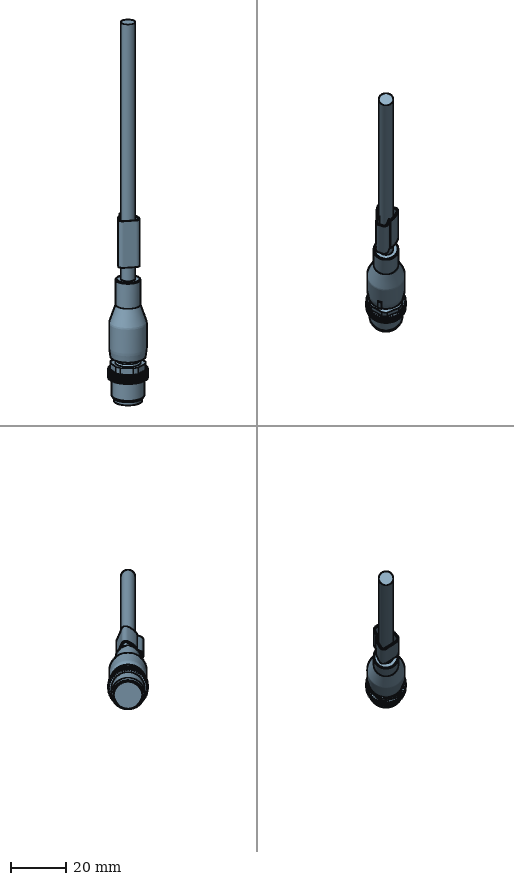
import cadquery as cq
import math

cable_radius = 2.6
total_length = 147.0

nut_bottom_z = 1.3
sleeve_chamfer_top_z = 2.2
knurl_bottom_z = 9.1
knurl_top_z = 12.3
nut_top_z = 14.8
nut_collar_top_z = 15.6
grip_bottom_z = 17.2
grip_taper_top_z = 20.3
cone_bottom_z = 30.5
cone_top_z = 37.3
grip_top_z = 47.3

plug_radius = 5.1
neck_radius = 4.1

sleeve_radius = 6.0
sleeve_tip_radius = 5.5
hex_across_flats = 2 * sleeve_radius
hex_corner_radius = 6.5
nut_collar_radius = 4.7
knurl_radius = 7.28
knurl_root_radius = 6.8
knurl_teeth = 48
knurl_groove_z = 11.0
knurl_groove_width = 0.6

grip_bottom_radius = 6.5
grip_radius = 6.9
grip_neck_radius = 4.5
grip_top_chamfer = 0.37
cone_blend_radius = 2.0
taper_blend_radius = 7.4

mark_width = 1.5
mark_bottom_z = 18.1
mark_top_z = 22.3
mark_reach = 7.2
mark_direction = 135

label_bottom_z = 52.9
label_top_z = 71.0
label_angle = -45
label_wall = 0.6
label_corner_radius = 1.6
wide_front = 3.5
wide_back = -2.5
wide_half_width = 4.0
wide_side_radius = 8.8
narrow_back = -5.7
narrow_half_width = 2.4


def revolve_profile(points):
    """Turn (radius, z) points into a solid of revolution about Z."""
    return cq.Workplane("XZ").polyline(points).close().revolve(360, (0, 0), (0, 1))


def make_cable():
    length = total_length - grip_bottom_z
    return cq.Workplane("XY", origin=(0, 0, grip_bottom_z)).circle(cable_radius).extrude(length)


def round_rim(body, z, radius):
    """Round the grip's circular edge that lies at height z."""
    reach = 2 * grip_radius
    margin = 0.1
    rim = cq.selectors.BoxSelector((-reach, -reach, z - margin), (reach, reach, z + margin))
    return body.edges(rim).fillet(radius)


def make_grip():
    body = revolve_profile([
        (0, grip_bottom_z),
        (grip_bottom_radius, grip_bottom_z),
        (grip_radius, grip_taper_top_z),
        (grip_radius, cone_bottom_z),
        (grip_neck_radius, cone_top_z),
        (grip_neck_radius, grip_top_z),
        (0, grip_top_z),
    ])
    body = body.faces(">Z").edges().chamfer(grip_top_chamfer)
    body = round_rim(body, cone_bottom_z, cone_blend_radius)
    body = round_rim(body, grip_taper_top_z, taper_blend_radius)
    mark = (
        cq.Workplane("XY", origin=(0, 0, mark_bottom_z))
        .rect(mark_reach, mark_width, centered=(False, True))
        .extrude(mark_top_z - mark_bottom_z)
        .rotate((0, 0, 0), (0, 0, 1), mark_direction)
    )
    return body.union(mark).cut(make_cable())


def make_carrier():
    return revolve_profile([
        (0, 0),
        (plug_radius, 0),
        (plug_radius, knurl_top_z),
        (neck_radius, knurl_top_z),
        (neck_radius, grip_bottom_z),
        (0, grip_bottom_z),
    ])


def polar(radius, angle):
    """Point at the given radius and angle (radians) from the axis."""
    return (radius * math.cos(angle), radius * math.sin(angle))


def make_knurl():
    """Two rows of flat-topped teeth with V notches, parted by a groove down to the tooth roots."""
    pitch = 2 * math.pi / knurl_teeth
    outline = []
    for i in range(knurl_teeth):
        tooth_angle = i * pitch
        outline.append(polar(knurl_radius, tooth_angle - pitch / 4))
        outline.append(polar(knurl_radius, tooth_angle + pitch / 4))
        outline.append(polar(knurl_root_radius, tooth_angle + pitch / 2))
    teeth = (
        cq.Workplane("XY", origin=(0, 0, knurl_bottom_z))
        .polyline(outline)
        .close()
        .extrude(knurl_top_z - knurl_bottom_z)
    )
    groove = (
        cq.Workplane("XY", origin=(0, 0, knurl_groove_z - knurl_groove_width / 2))
        .circle(2 * knurl_radius)
        .circle(knurl_root_radius)
        .extrude(knurl_groove_width)
    )
    return teeth.cut(groove)


def make_nut():
    sleeve = revolve_profile([
        (0, nut_bottom_z),
        (sleeve_tip_radius, nut_bottom_z),
        (sleeve_radius, sleeve_chamfer_top_z),
        (sleeve_radius, knurl_bottom_z),
        (0, knurl_bottom_z),
    ])
    collar = revolve_profile([
        (0, nut_top_z),
        (nut_collar_radius, nut_top_z),
        (neck_radius, nut_collar_top_z),
        (0, nut_collar_top_z),
    ])
    hex_height = nut_top_z - knurl_top_z
    hex_base = cq.Workplane("XY", origin=(0, 0, knurl_top_z))
    hexagon = hex_base.polygon(6, hex_across_flats, circumscribed=True).extrude(hex_height)
    hexagon = hexagon.intersect(hex_base.circle(hex_corner_radius).extrude(hex_height))
    return sleeve.union(make_knurl()).union(hexagon).union(collar).cut(make_carrier())


def label_chambers(inset):
    """Both chambers of the label sleeve, shrunk on all sides by the inset."""
    height = label_top_z - label_bottom_z
    base = cq.Workplane("XY", origin=(0, 0, label_bottom_z))
    corner = label_corner_radius - inset
    tilt = math.sqrt(0.5) * corner

    front = wide_front - inset
    back = wide_back + inset
    half = wide_half_width - inset
    side_start = front - corner
    side_radius = wide_side_radius - inset
    side_angle = math.asin((side_start - back) / side_radius)

    def side_point(angle):
        return (side_start - side_radius * math.sin(angle),
                half - side_radius * (1 - math.cos(angle)))

    def mirrored(point):
        return (point[0], -point[1])

    corner_middle = (side_start + tilt, half - corner + tilt)
    middle = side_point(side_angle / 2)
    end = side_point(side_angle)
    wide = (
        base.moveTo(front, corner - half)
        .lineTo(front, half - corner)
        .threePointArc(corner_middle, (side_start, half))
        .threePointArc(middle, end)
        .lineTo(*mirrored(end))
        .threePointArc(mirrored(middle), (side_start, -half))
        .threePointArc(mirrored(corner_middle), (front, corner - half))
        .close()
        .extrude(height)
    )
    narrow = (
        base.rect(narrow_back + inset, 2 * (narrow_half_width - inset), centered=(False, True))
        .extrude(height)
        .edges("|Z and <X")
        .fillet(corner)
    )
    return wide.union(narrow)


def make_label_sleeve():
    sleeve = label_chambers(0).cut(label_chambers(label_wall))
    return sleeve.rotate((0, 0, 0), (0, 0, 1), label_angle)


cable = make_cable()
grip = make_grip()
carrier = make_carrier()
nut = make_nut()
label_sleeve = make_label_sleeve()

result = cq.Compound.makeCompound([
    cable.val(),
    grip.val(),
    carrier.val(),
    nut.val(),
    label_sleeve.val(),
])